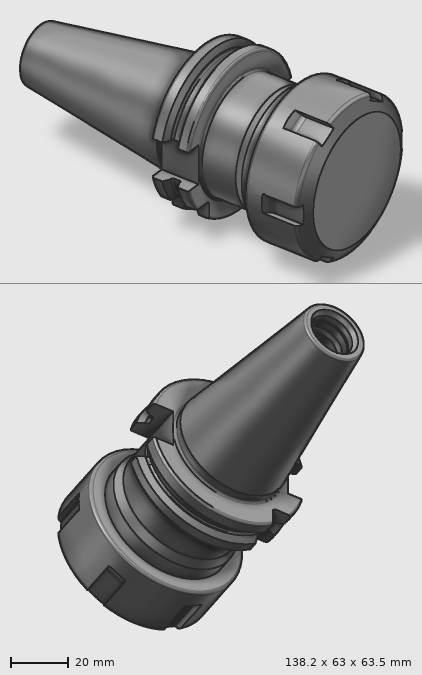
import cadquery as cq
import math

TOTAL_LENGTH = 138.2

TAPER_END_X = 67.3
TAPER_END_RADIUS = 22.1
TAPER_SLOPE = 7 / 48
TAPER_EDGE_FILLET = 0.8
RELIEF_START_X = 68.6
RELIEF_RADIUS = 21.8
RELIEF_FILLET = 1.0

FLANGE_START_X = 71.3
FLANGE_END_X = 87.4
FLANGE_WIDTH = FLANGE_END_X - FLANGE_START_X
FLANGE_RADIUS = 63.5 / 2
FLANGE_EDGE_FILLET = 1.0
GROOVE_CENTER_X = 79.5
GROOVE_MOUTH_WIDTH = 6.9
GROOVE_FLOOR_WIDTH = 3.9
GROOVE_FLOOR_RADIUS = 27.9
GROOVE_WALL_ANGLE = 30.0
GROOVE_FLOOR_FILLET = 0.7

KEYWAY_WIDTH = 16.2
FRONT_KEYWAY_FLOOR = 24.6
BACK_KEYWAY_FLOOR = 22.7
NOTCH_OFFSET = 18.4
NOTCH_FILLET = 1.2

SHANK_RADIUS = 23.8
SHANK_FILLET = 1.0
SHANK_CONE_START_X = 103.0
SHANK_CONE_END_X = 106.7
COLLAR_RADIUS = 25.5

MOUTH_RADIUS = 9.7
MOUTH_CHAMFER = 0.3
PILOT_RADIUS = 8.5
PILOT_DEPTH = 4.5
CLEARANCE_RADIUS = 8.0
CLEARANCE_DEPTH = 8.0
LEAD_IN_RADIUS = 7.6
THREAD_RADIUS = 6.9
THREAD_DEPTH = 27.6
CONE_ANGLE = 30.0
DRILL_POINT_ANGLE = 59.0

NUT_START_X = 112.5
NUT_RADIUS = 63.0 / 2
NUT_BACK_FILLET = 1.1
NUT_FACE_RADIUS = 25.7
NUT_FACE_ANGLE = 30.0
NUT_RIM_FILLET = 1.7

SLOT_COUNT = 6
SLOT_WIDTH = 7.9
SLOT_FLOOR_RADIUS = 28.9
SLOT_START_X = 120.0
SLOT_RAMP_RUN = 3.2
SLOT_RAMP_FILLET = 3.3


def tan_degrees(angle):
    return math.tan(math.radians(angle))


def turned(profile):
    """Revolve an (x, radius) profile, drawn in the XY plane, about the X axis."""
    return profile.close().revolve(360, (0, 0, 0), (1, 0, 0))


def box_between(low, high):
    size = [high[i] - low[i] for i in range(3)]
    return cq.Workplane("XY").box(*size, centered=False).translate(low)


def taper_blank():
    small_end_radius = TAPER_END_RADIUS - TAPER_SLOPE * TAPER_END_X
    blank = turned(
        cq.Workplane("XY")
        .lineTo(0, small_end_radius)
        .lineTo(TAPER_END_X, TAPER_END_RADIUS)
        .lineTo(RELIEF_START_X, RELIEF_RADIUS)
        .lineTo(FLANGE_START_X, RELIEF_RADIUS)
        .lineTo(FLANGE_START_X, 0)
    )
    return blank.faces("<X").edges().fillet(TAPER_EDGE_FILLET)


def flange_blank():
    flange = (
        cq.Workplane("YZ", origin=(FLANGE_START_X, 0, 0))
        .circle(FLANGE_RADIUS)
        .extrude(FLANGE_WIDTH)
        .edges()
        .fillet(FLANGE_EDGE_FILLET)
    )
    return flange.cut(groove_ring())


def groove_ring():
    """Ring filling the groove: sloped upper walls, then straight walls down to the floor."""
    mouth_half = GROOVE_MOUTH_WIDTH / 2
    floor_half = GROOVE_FLOOR_WIDTH / 2
    slope_end_radius = FLANGE_RADIUS - (mouth_half - floor_half) / tan_degrees(GROOVE_WALL_ANGLE)
    ring = turned(
        cq.Workplane("XY")
        .moveTo(GROOVE_CENTER_X - mouth_half, FLANGE_RADIUS)
        .lineTo(GROOVE_CENTER_X - floor_half, slope_end_radius)
        .lineTo(GROOVE_CENTER_X - floor_half, GROOVE_FLOOR_RADIUS)
        .lineTo(GROOVE_CENTER_X + floor_half, GROOVE_FLOOR_RADIUS)
        .lineTo(GROOVE_CENTER_X + floor_half, slope_end_radius)
        .lineTo(GROOVE_CENTER_X + mouth_half, FLANGE_RADIUS)
    )
    floor_edges = cq.selectors.RadiusNthSelector(0)
    return ring.edges(floor_edges).fillet(GROOVE_FLOOR_FILLET)


def shank_blank():
    return turned(
        cq.Workplane("XY")
        .moveTo(FLANGE_END_X, 0)
        .lineTo(FLANGE_END_X, SHANK_RADIUS)
        .lineTo(SHANK_CONE_START_X, SHANK_RADIUS)
        .lineTo(SHANK_CONE_END_X, COLLAR_RADIUS)
        .lineTo(NUT_START_X, COLLAR_RADIUS)
        .lineTo(NUT_START_X, 0)
    )


def corner_fillet_ring(x, radius, size, direction):
    """Ring filling the inside corner of a shaft and a shoulder at x; direction points off the shoulder."""
    reach = size * math.cos(math.radians(45))
    center = (x + direction * size, radius + size)
    return turned(
        cq.Workplane("XY")
        .moveTo(x, radius)
        .lineTo(x, radius + size)
        .threePointArc(
            (center[0] - direction * reach, center[1] - reach),
            (x + direction * size, radius),
        )
    )


def keyway_cut():
    """Both drive keyways; they run on to the end of the fillet behind the flange."""
    half = KEYWAY_WIDTH / 2
    end_x = FLANGE_END_X + SHANK_FILLET
    front = box_between(
        (FLANGE_START_X, -FLANGE_RADIUS, -half), (end_x, -FRONT_KEYWAY_FLOOR, half)
    )
    back = box_between(
        (FLANGE_START_X, BACK_KEYWAY_FLOOR, -half), (end_x, FLANGE_RADIUS, half)
    )
    return front.union(back)


def notch_cut():
    notch = box_between(
        (FLANGE_START_X, -FLANGE_RADIUS, -FLANGE_RADIUS),
        (FLANGE_END_X, -NOTCH_OFFSET, -NOTCH_OFFSET),
    )
    return notch.edges("|X").edges(">Y").edges(">Z").fillet(NOTCH_FILLET)


def bore_cut():
    """Bore narrowing from the mouth in steps down to the thread core and its drill point."""
    cone_mouth_radius = MOUTH_RADIUS - MOUTH_CHAMFER
    pilot_start_x = MOUTH_CHAMFER + (cone_mouth_radius - PILOT_RADIUS) / tan_degrees(CONE_ANGLE)
    first_step_x = PILOT_DEPTH + PILOT_RADIUS - CLEARANCE_RADIUS
    second_step_x = CLEARANCE_DEPTH + CLEARANCE_RADIUS - LEAD_IN_RADIUS
    thread_start_x = second_step_x + (LEAD_IN_RADIUS - THREAD_RADIUS) / tan_degrees(CONE_ANGLE)
    point_x = THREAD_DEPTH + THREAD_RADIUS / tan_degrees(DRILL_POINT_ANGLE)
    return turned(
        cq.Workplane("XY")
        .lineTo(0, MOUTH_RADIUS)
        .lineTo(MOUTH_CHAMFER, cone_mouth_radius)
        .lineTo(pilot_start_x, PILOT_RADIUS)
        .lineTo(PILOT_DEPTH, PILOT_RADIUS)
        .lineTo(first_step_x, CLEARANCE_RADIUS)
        .lineTo(CLEARANCE_DEPTH, CLEARANCE_RADIUS)
        .lineTo(second_step_x, LEAD_IN_RADIUS)
        .lineTo(thread_start_x, THREAD_RADIUS)
        .lineTo(THREAD_DEPTH, THREAD_RADIUS)
        .lineTo(point_x, 0)
    )


def make_holder():
    relief_fillet = corner_fillet_ring(FLANGE_START_X, RELIEF_RADIUS, RELIEF_FILLET, -1)
    shank_fillet = corner_fillet_ring(FLANGE_END_X, SHANK_RADIUS, SHANK_FILLET, 1)
    blank = taper_blank().union(flange_blank()).union(shank_blank())
    blank = blank.union(relief_fillet).union(shank_fillet)
    return blank.cut(keyway_cut()).cut(notch_cut()).cut(bore_cut())


def nut_blank():
    face_run = (NUT_RADIUS - NUT_FACE_RADIUS) * tan_degrees(NUT_FACE_ANGLE)
    blank = turned(
        cq.Workplane("XY")
        .moveTo(NUT_START_X, 0)
        .lineTo(NUT_START_X, NUT_RADIUS)
        .lineTo(TOTAL_LENGTH - face_run, NUT_RADIUS)
        .lineTo(TOTAL_LENGTH, NUT_FACE_RADIUS)
        .lineTo(TOTAL_LENGTH, 0)
    )
    widest_edges = cq.selectors.RadiusNthSelector(-1)
    blank = blank.edges(widest_edges).edges(">X").fillet(NUT_RIM_FILLET)
    return blank.faces("<X").edges().fillet(NUT_BACK_FILLET)


def slot_cut():
    """Slot on the -Y side, with a sloped end that blends into its flat floor."""
    ramp_end_x = SLOT_START_X + SLOT_RAMP_RUN
    slot = (
        cq.Workplane("XY", origin=(0, 0, -SLOT_WIDTH / 2))
        .moveTo(SLOT_START_X, -NUT_RADIUS)
        .lineTo(ramp_end_x, -SLOT_FLOOR_RADIUS)
        .lineTo(TOTAL_LENGTH, -SLOT_FLOOR_RADIUS)
        .lineTo(TOTAL_LENGTH, -NUT_RADIUS)
        .close()
        .extrude(SLOT_WIDTH)
    )
    return slot.edges("|Z").edges(">Y").edges("<X").fillet(SLOT_RAMP_FILLET)


def make_nut():
    nut = nut_blank()
    slot = slot_cut()
    for i in range(SLOT_COUNT):
        nut = nut.cut(slot.rotate((0, 0, 0), (1, 0, 0), i * 360 / SLOT_COUNT))
    return nut


holder = make_holder()
nut = make_nut()
result = cq.Compound.makeCompound([holder.val(), nut.val()])